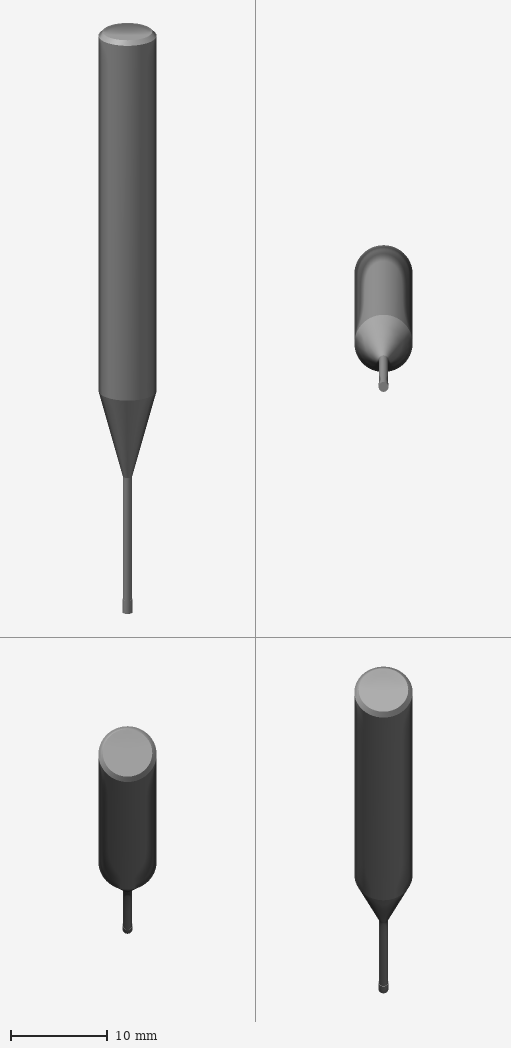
import cadquery as cq

total_length = 64.0
shank_diameter = 6.0
shank_chamfer = 0.45
tip_diameter = 1.0
tip_length = 1.5
neck_diameter = 0.95
neck_top = 15.0
cone_top = 24.45


def make_cylinder(diameter, bottom, top):
    """Round bar on the Z axis between two heights."""
    return cq.Workplane("XY").workplane(offset=bottom).circle(diameter / 2).extrude(top - bottom)


def make_shank():
    """Cylindrical shank with a chamfered top and a cone tapering down to the neck."""
    shank_radius = shank_diameter / 2
    return (
        cq.Workplane("XZ")
        .moveTo(0, neck_top)
        .lineTo(-neck_diameter / 2, neck_top)
        .lineTo(-shank_radius, cone_top)
        .lineTo(-shank_radius, total_length - shank_chamfer)
        .lineTo(-shank_radius + shank_chamfer, total_length)
        .lineTo(0, total_length)
        .close()
        .revolve(360, (0, 0), (0, 1))
    )


shank = make_shank()
neck = make_cylinder(neck_diameter, tip_length, neck_top)
cutting_tip = make_cylinder(tip_diameter, 0, tip_length)

result = cq.Compound.makeCompound([shank.val(), neck.val(), cutting_tip.val()])